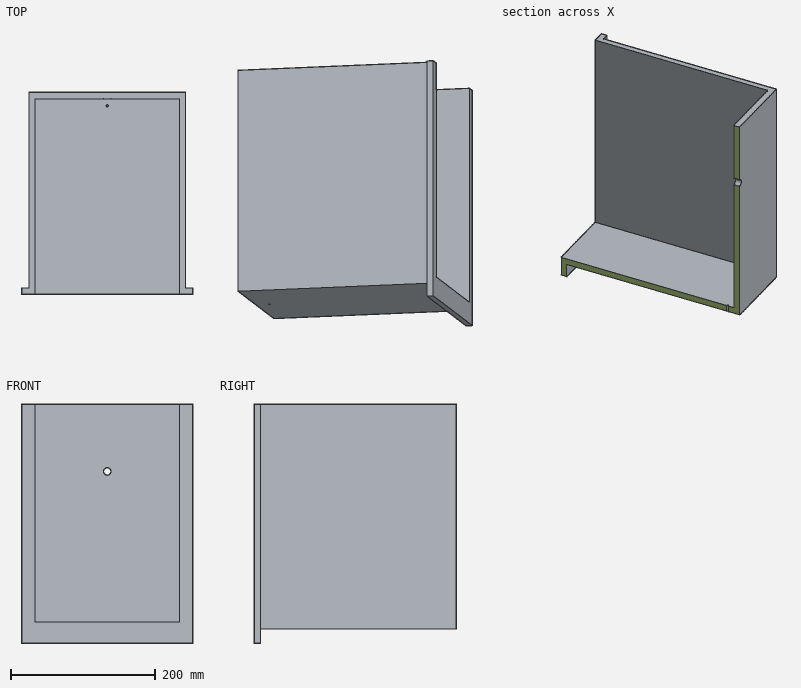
import cadquery as cq

flange_width = 237.0
total_depth = 280.0
total_height = 331.0

flange_thickness = 9.0
flange_side_overhang = 10.0
flange_bottom_overhang = 20.0

inner_width = 200.0
floor_thickness = 10.0
back_thickness = 9.3
box_width = flange_width - 2 * flange_side_overhang
box_height = total_height - flange_bottom_overhang
floor_top = flange_bottom_overhang + floor_thickness

back_hole_diameter = 10.0
back_hole_height = 238.0
floor_hole_diameter = 2.5
floor_hole_from_back = 19.0

front_y = -total_depth / 2
back_y = total_depth / 2


def block(width, depth, height, base_z):
    """Block centred on X, running back from the front face and up from base_z."""
    return (
        cq.Workplane("XY")
        .box(width, depth, height, centered=(True, False, False))
        .translate((0, front_y, base_z))
    )


body = block(box_width, total_depth, box_height, flange_bottom_overhang)
flange = block(flange_width, flange_thickness, total_height, 0)

cavity = block(inner_width, total_depth - back_thickness, total_height - floor_top, floor_top)

back_hole = (
    cq.Workplane("XZ", origin=(0, back_y, back_hole_height))
    .circle(back_hole_diameter / 2)
    .extrude(back_thickness)
)

floor_hole = (
    cq.Workplane("XY", origin=(0, back_y - floor_hole_from_back, flange_bottom_overhang))
    .circle(floor_hole_diameter / 2)
    .extrude(floor_thickness)
)

result = body.union(flange).cut(cavity).cut(back_hole).cut(floor_hole)